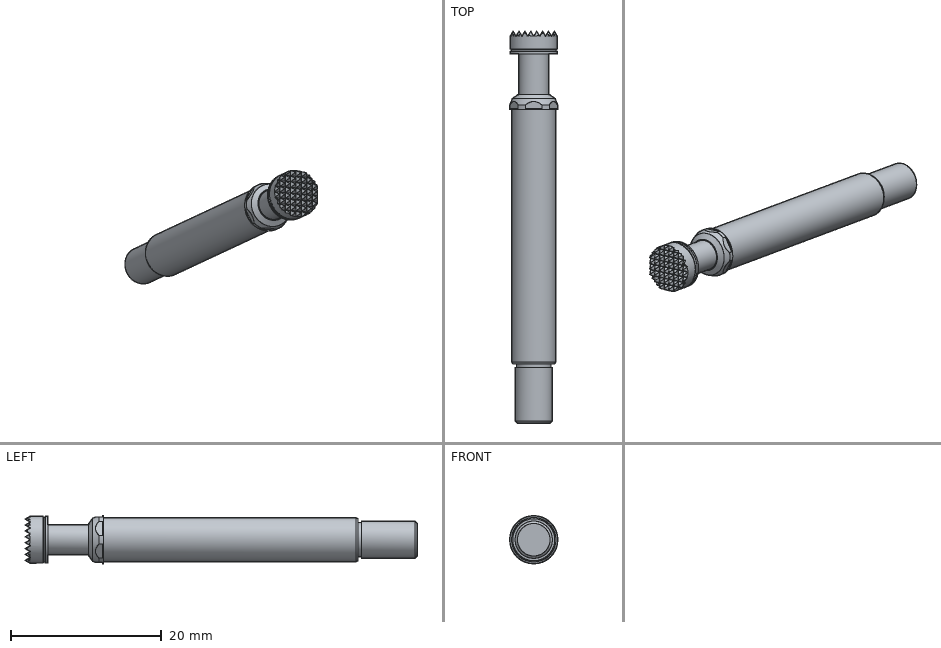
import cadquery as cq
import math

overall_length = 52.1

tail_diameter = 4.95
tail_radius = tail_diameter / 2
tail_chamfer = 0.3
undercut_radius = 2.3
undercut_length = 0.4

barrel_diameter = 5.9
barrel_radius = barrel_diameter / 2
barrel_chamfer_length = 0.3
barrel_chamfer_depth = 0.15
barrel_length = 33.8

collar_diameter = 6.4
collar_radius = collar_diameter / 2
collar_rim_length = 0.15
collar_band_length = 0.6
collar_taper_length = 0.85
collar_nose_length = 0.5
collar_nose_radius = 2.85
collar_mouth_radius = 2.15
flat_distance = 3.0
flat_count = 6

neck_diameter = 4.0
neck_radius = neck_diameter / 2
neck_length = 5.4
head_radius = 3.1
head_length = 3.0
head_groove_depth = 0.2
head_groove_width = 0.35
head_groove_offset = 0.3

teeth_across = 8
tooth_angle = 60.0

tail_end = -overall_length / 2
head_tip = overall_length / 2
head_back = head_tip - head_length
collar_nose = head_back - neck_length
nose_end = collar_nose - collar_nose_length
taper_end = nose_end - collar_taper_length
collar_back = taper_end - collar_band_length
barrel_end = collar_back - barrel_length
tail_shoulder = barrel_end - undercut_length
groove_back = head_back + head_groove_offset
groove_front = groove_back + head_groove_width
groove_bottom = (groove_back + groove_front) / 2


def turned_body():
    """Revolve the half section (Y, radius) about the Y axis."""
    section = [
        (tail_end, 0),
        (tail_end, tail_radius - tail_chamfer),
        (tail_end + tail_chamfer, tail_radius),
        (tail_shoulder, tail_radius),
        (tail_shoulder, undercut_radius),
        (barrel_end, undercut_radius),
        (barrel_end, barrel_radius - barrel_chamfer_depth),
        (barrel_end + barrel_chamfer_length, barrel_radius),
        (collar_back, barrel_radius),
        (collar_back, collar_radius),
        (taper_end, collar_radius),
        (nose_end, collar_nose_radius),
        (collar_nose, collar_mouth_radius),
        (collar_nose, neck_radius),
        (head_back, neck_radius),
        (head_back, head_radius),
        (groove_back, head_radius),
        (groove_bottom, head_radius - head_groove_depth),
        (groove_front, head_radius),
        (head_tip, head_radius),
        (head_tip, 0),
    ]
    return cq.Workplane("YZ").polyline(section).close().revolve(360, (0, 0), (1, 0))


def collar_flats():
    """Material outside the hexagon, leaving a full round rim at the back of the collar."""
    length = collar_nose - collar_back - collar_rim_length
    ring_radius = 2 * collar_radius
    hexagon_diameter = 2 * flat_distance / math.cos(math.pi / flat_count)
    return (
        cq.Workplane("XZ", origin=(0, collar_nose, 0))
        .circle(ring_radius)
        .polygon(flat_count, hexagon_diameter)
        .extrude(length)
    )


def tooth_groove(center, pitch, depth):
    """One V groove running along Z across the head, centered at X = center."""
    return (
        cq.Workplane("XY")
        .polyline([
            (center - pitch / 2, head_tip),
            (center, head_tip - depth),
            (center + pitch / 2, head_tip),
        ])
        .close()
        .extrude(2 * head_radius, both=True)
    )


def cut_teeth(body):
    """Cut crossed V grooves between the teeth and at the edges of the head."""
    pitch = 2 * head_radius / teeth_across
    depth = pitch / 2 / math.tan(math.radians(tooth_angle / 2))
    for index in range(teeth_across + 1):
        groove = tooth_groove(index * pitch - head_radius, pitch, depth)
        body = body.cut(groove)
        body = body.cut(groove.rotate((0, 0, 0), (0, 1, 0), 90))
    return body


result = cut_teeth(turned_body().cut(collar_flats()))